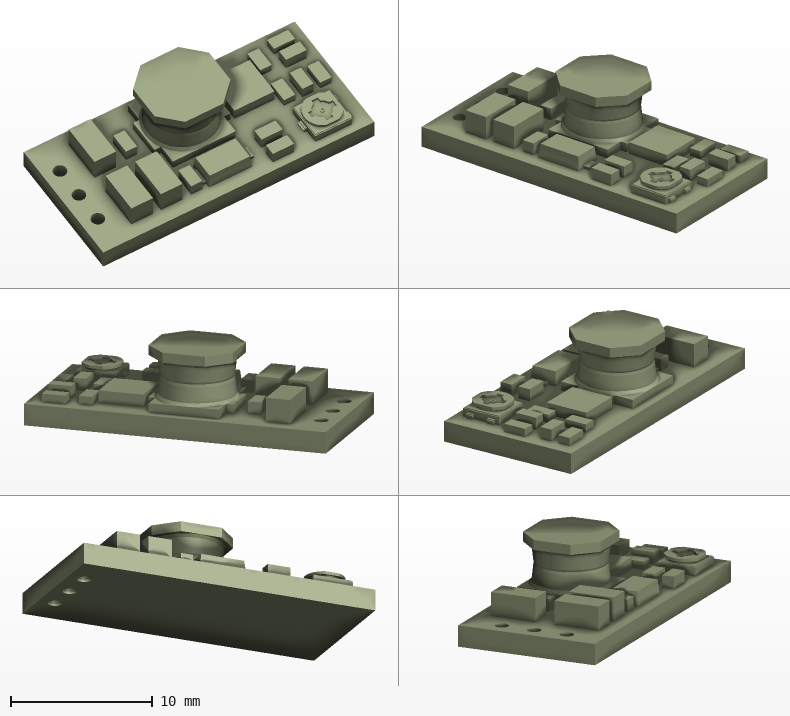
import cadquery as cq

BOARD_WIDTH = 10.68
BOARD_LENGTH = 22.48
BOARD_THICKNESS = 1.57
TOTAL_HEIGHT = 6.07

HOLE_DIAMETER = 1.03
HOLE_PITCH = 2.55
HOLE_Y = -9.95

RESISTOR = (1.75, 0.95, 0.63, 0.45)
CAPACITOR = (1.7, 0.92, 0.92, 0.31)
WIDE_CAP_CAPACITOR = (1.75, 0.95, 0.92, 0.45)
LARGE_CAPACITOR = (3.46, 1.8, 1.78, 0.52)

RESISTORS_ALONG_X = [(-0.13, 10.07), (-0.13, 7.05), (-3.3, 7.05)]
RESISTORS_ALONG_Y = [(-4.05, 9.3)]
WIDE_CAP_CAPACITORS_ALONG_Y = [(2.68, 4.11), (4.2, 4.11)]
CAPACITORS_ALONG_X = [(-0.1, 8.56), (3.28, -2.75), (-1.8, -5.01)]
CAPACITORS_ALONG_Y = [(-2.55, 9.35)]
LARGE_CAPACITORS_ALONG_X = [(2.47, -4.85), (2.47, -7.3), (-2.47, -7.3)]

CONTROLLER_CENTRE = (-1.75, 4.65)
CONTROLLER_SIDE = 3.33
CONTROLLER_HEIGHT = 0.92
PAD_COUNT = 4
PAD_PITCH = 0.65
PAD_WIDTH = 0.38
PAD_HEIGHT = 0.2
PAD_DEPTH = 0.22

INDUCTOR_CENTRE = (-1.62, -0.43)
INDUCTOR_WIDTH = 6.02
INDUCTOR_LENGTH = 6.3
CAP_CORNER = 1.57
CAP_THICKNESS = 0.75
BASE_HEIGHT = 0.7
BASE_SIDE_LENGTH = 5.22
TERMINAL_WIDTH = 1.25
TERMINAL_HEIGHT = 0.5
TERMINAL_ROUNDING = 0.27
TERMINAL_DEPTH = 0.22
TERMINAL_OFFSET = 2.2
FOOT_RADIUS = 3.01
SHOULDER_RADIUS = 2.8
WAIST_EDGE_RADIUS = 2.68
WAIST_RADIUS = 2.63
RIM_RADIUS = 2.95
LOWER_SHOULDER_Z = 0.92
WAIST_BOTTOM_Z = 2.05
WAIST_MIDDLE_Z = 2.25
WAIST_TOP_Z = 2.38
UPPER_SHOULDER_Z = 3.53

DIODE_CENTRE = (3.17, 0.0)
DIODE_WIDTH = 2.18
DIODE_LENGTH = 3.6
DIODE_HEIGHT = 1.1
DIODE_WAIST_HEIGHT = 0.65
DIODE_WAIST_SIDE_INSET = 0.1
DIODE_TOP_INSET = 0.13
DIODE_LEAD_HEIGHT = 0.22
CATHODE_LEAD_WIDTH = 0.95
CATHODE_LEAD_LENGTH = 0.5
ANODE_LEAD_WIDTH = 1.35
ANODE_LEAD_LENGTH = 0.3

TRIMMER_CENTRE = (3.17, 8.27)
TRIMMER_SIDE = 3.03
TRIMMER_HEIGHT = 0.7
TRIMMER_EDGE_STEP = 0.07
NECK_RADIUS = 1.24
DIAL_RADIUS = 1.48
DIAL_WIDTH = 2.77
DIAL_BOTTOM_Z = 0.9
DIAL_TOP_Z = 1.12
DIAL_FLAT_REACH = 1.28
SLOT_LENGTH = 2.07
SLOT_WIDTH = 0.55
SLOT_CENTRE_RADIUS = 0.76
SLOT_DEPTH = 0.2
RIVET_RADIUS = 0.18
RIVET_BORE_RADIUS = 0.11
RIVET_HEIGHT = 0.1
END_LEAD_WIDTH = 0.56
END_LEAD_SPACING = 1.75
WIPER_LEAD_WIDTH = 0.79
LEAD_THICKNESS = 0.169
LEAD_HEIGHT = 0.38
LIP_BOTTOM_Z = 0.18
LIP_TOP_Z = 0.31
END_LIP_REACH = 0.25
WIPER_LIP_REACH = 0.31


def block(centre, size_x, size_y, bottom, top):
    """A box centred on (x, y), between two heights above the board."""
    x, y = centre
    return (
        cq.Workplane("XY", origin=(x, y, BOARD_THICKNESS + bottom))
        .rect(size_x, size_y)
        .extrude(top - bottom)
    )


def cylinder(centre, radius, bottom, top):
    """A disc centred on (x, y), between two heights above the board."""
    x, y = centre
    return (
        cq.Workplane("XY", origin=(x, y, BOARD_THICKNESS + bottom))
        .circle(radius)
        .extrude(top - bottom)
    )


def shifted(centre, dx, dy):
    return (centre[0] + dx, centre[1] + dy)


def make_board():
    holes = [(i * HOLE_PITCH, HOLE_Y) for i in (-1, 0, 1)]
    return (
        cq.Workplane("XY")
        .rect(BOARD_WIDTH, BOARD_LENGTH)
        .extrude(BOARD_THICKNESS)
        .faces(">Z")
        .workplane(origin=(0, 0, BOARD_THICKNESS))
        .pushPoints(holes)
        .hole(HOLE_DIAMETER)
    )


def make_chip(centre, size, along_y=False):
    """A chip body with a flush metal cap on each end."""
    length, width, height, cap = size
    body = block((0, 0), length - 2 * cap, width, 0, height)
    for side in (-1, 1):
        cap_centre = (side * (length - cap) / 2, 0)
        body = body.union(block(cap_centre, cap, width, 0, height), clean=False)
    if along_y:
        body = body.rotate((0, 0, 0), (0, 0, 1), 90)
    return body.translate((centre[0], centre[1], 0))


def make_controller():
    body = block(CONTROLLER_CENTRE, CONTROLLER_SIDE, CONTROLLER_SIDE, 0, CONTROLLER_HEIGHT)
    for side in (-1, 1):
        for i in range(PAD_COUNT):
            dx = side * (CONTROLLER_SIDE - PAD_DEPTH) / 2
            dy = (i - (PAD_COUNT - 1) / 2) * PAD_PITCH
            pad_centre = shifted(CONTROLLER_CENTRE, dx, dy)
            pad = block(pad_centre, PAD_DEPTH, PAD_WIDTH, 0, PAD_HEIGHT)
            body = body.union(pad, clean=False)
    return body


def make_inductor():
    cap_top = TOTAL_HEIGHT - BOARD_THICKNESS
    cap_bottom = cap_top - CAP_THICKNESS
    cap = block(INDUCTOR_CENTRE, INDUCTOR_WIDTH, INDUCTOR_LENGTH, cap_bottom, cap_top)
    cap = cap.edges("|Z").chamfer(CAP_CORNER)

    winding = (
        cq.Workplane("XZ")
        .moveTo(0, BASE_HEIGHT)
        .lineTo(FOOT_RADIUS, BASE_HEIGHT)
        .lineTo(SHOULDER_RADIUS, LOWER_SHOULDER_Z)
        .lineTo(WAIST_EDGE_RADIUS, WAIST_BOTTOM_Z)
        .lineTo(WAIST_RADIUS, WAIST_MIDDLE_Z)
        .lineTo(WAIST_EDGE_RADIUS, WAIST_TOP_Z)
        .lineTo(SHOULDER_RADIUS, UPPER_SHOULDER_Z)
        .lineTo(RIM_RADIUS, cap_bottom)
        .lineTo(0, cap_bottom)
        .close()
        .revolve(360, (0, 0, 0), (0, 1, 0))
        .translate((*INDUCTOR_CENTRE, BOARD_THICKNESS))
    )

    tongue_width = INDUCTOR_WIDTH - 2 * CAP_CORNER
    base = block(INDUCTOR_CENTRE, INDUCTOR_WIDTH, BASE_SIDE_LENGTH, 0, BASE_HEIGHT)
    base = base.union(block(INDUCTOR_CENTRE, tongue_width, INDUCTOR_LENGTH, 0, BASE_HEIGHT))
    for x_side in (-1, 1):
        for y_side in (-1, 1):
            dx = x_side * TERMINAL_OFFSET
            dy = y_side * (BASE_SIDE_LENGTH - TERMINAL_DEPTH) / 2
            terminal = block(
                shifted(INDUCTOR_CENTRE, dx, dy), TERMINAL_WIDTH, TERMINAL_DEPTH, 0, TERMINAL_HEIGHT
            )
            terminal = terminal.edges("|Y and >Z").fillet(TERMINAL_ROUNDING)
            base = base.union(terminal, clean=False)
    return base.union(winding, clean=False).union(cap, clean=False)


def make_diode():
    waist_end_inset = DIODE_TOP_INSET * DIODE_WAIST_HEIGHT / DIODE_HEIGHT
    waist_width = DIODE_WIDTH - 2 * DIODE_WAIST_SIDE_INSET
    waist_length = DIODE_LENGTH - 2 * waist_end_inset
    lower = (
        cq.Workplane("XY", origin=(*DIODE_CENTRE, BOARD_THICKNESS))
        .rect(DIODE_WIDTH, DIODE_LENGTH)
        .workplane(offset=DIODE_WAIST_HEIGHT)
        .rect(waist_width, waist_length)
        .loft(ruled=True)
    )
    upper = (
        cq.Workplane("XY", origin=(*DIODE_CENTRE, BOARD_THICKNESS + DIODE_WAIST_HEIGHT))
        .rect(waist_width, waist_length)
        .workplane(offset=DIODE_HEIGHT - DIODE_WAIST_HEIGHT)
        .rect(DIODE_WIDTH - 2 * DIODE_TOP_INSET, DIODE_LENGTH - 2 * DIODE_TOP_INSET)
        .loft(ruled=True)
    )
    body = lower.union(upper)
    leads = [(1, CATHODE_LEAD_WIDTH, CATHODE_LEAD_LENGTH), (-1, ANODE_LEAD_WIDTH, ANODE_LEAD_LENGTH)]
    for y_side, width, length in leads:
        reach = length + DIODE_TOP_INSET
        dy = y_side * (DIODE_LENGTH / 2 + length - reach / 2)
        body = body.union(block(shifted(DIODE_CENTRE, 0, dy), width, reach, 0, DIODE_LEAD_HEIGHT))
    return body


def make_trimmer_lead(dx, y_side, width, lip_reach):
    """A lead standing against one end of the trimmer, with a lip bent outwards."""
    edge = TRIMMER_SIDE / 2
    upright_centre = shifted(TRIMMER_CENTRE, dx, y_side * (edge + LEAD_THICKNESS / 2))
    upright = block(upright_centre, width, LEAD_THICKNESS, 0, LEAD_HEIGHT)
    lip_centre = shifted(TRIMMER_CENTRE, dx, y_side * (edge + lip_reach / 2))
    return upright.union(block(lip_centre, width, lip_reach, LIP_BOTTOM_Z, LIP_TOP_Z))


def make_trimmer():
    step_z = TRIMMER_HEIGHT - TRIMMER_EDGE_STEP
    inner_side = TRIMMER_SIDE - 2 * TRIMMER_EDGE_STEP
    base = block(TRIMMER_CENTRE, TRIMMER_SIDE, TRIMMER_SIDE, 0, step_z)
    base = base.union(block(TRIMMER_CENTRE, inner_side, inner_side, step_z, TRIMMER_HEIGHT))
    neck = cylinder(TRIMMER_CENTRE, NECK_RADIUS, TRIMMER_HEIGHT, DIAL_BOTTOM_Z)

    dial = cylinder(TRIMMER_CENTRE, DIAL_RADIUS, DIAL_BOTTOM_Z, DIAL_TOP_Z)
    flats_centre = shifted(TRIMMER_CENTRE, 0, (DIAL_FLAT_REACH - DIAL_RADIUS) / 2)
    flats = block(flats_centre, DIAL_WIDTH, DIAL_RADIUS + DIAL_FLAT_REACH, DIAL_BOTTOM_Z, DIAL_TOP_Z)
    dial = dial.intersect(flats)

    floor_z = DIAL_TOP_Z - SLOT_DEPTH
    slot = cylinder(TRIMMER_CENTRE, SLOT_CENTRE_RADIUS, floor_z, DIAL_TOP_Z)
    slot = slot.union(block(TRIMMER_CENTRE, SLOT_LENGTH, SLOT_WIDTH, floor_z, DIAL_TOP_Z))
    slot = slot.union(block(TRIMMER_CENTRE, SLOT_WIDTH, SLOT_LENGTH, floor_z, DIAL_TOP_Z))
    rivet = cylinder(TRIMMER_CENTRE, RIVET_RADIUS, floor_z, floor_z + RIVET_HEIGHT)
    bore = cylinder(TRIMMER_CENTRE, RIVET_BORE_RADIUS, floor_z, floor_z + RIVET_HEIGHT)
    dial = dial.cut(slot).union(rivet.cut(bore))

    trimmer = base.union(neck).union(dial)
    trimmer = trimmer.union(make_trimmer_lead(0, -1, WIPER_LEAD_WIDTH, WIPER_LIP_REACH))
    for side in (-1, 1):
        dx = side * END_LEAD_SPACING / 2
        trimmer = trimmer.union(make_trimmer_lead(dx, 1, END_LEAD_WIDTH, END_LIP_REACH))
    return trimmer


parts = [make_controller(), make_inductor(), make_diode(), make_trimmer()]
parts += [make_chip(centre, RESISTOR) for centre in RESISTORS_ALONG_X]
parts += [make_chip(centre, RESISTOR, along_y=True) for centre in RESISTORS_ALONG_Y]
parts += [make_chip(centre, WIDE_CAP_CAPACITOR, along_y=True) for centre in WIDE_CAP_CAPACITORS_ALONG_Y]
parts += [make_chip(centre, CAPACITOR) for centre in CAPACITORS_ALONG_X]
parts += [make_chip(centre, CAPACITOR, along_y=True) for centre in CAPACITORS_ALONG_Y]
parts += [make_chip(centre, LARGE_CAPACITOR) for centre in LARGE_CAPACITORS_ALONG_X]

module = make_board()
for part in parts:
    module = module.union(part, clean=False)

result = module.solids()